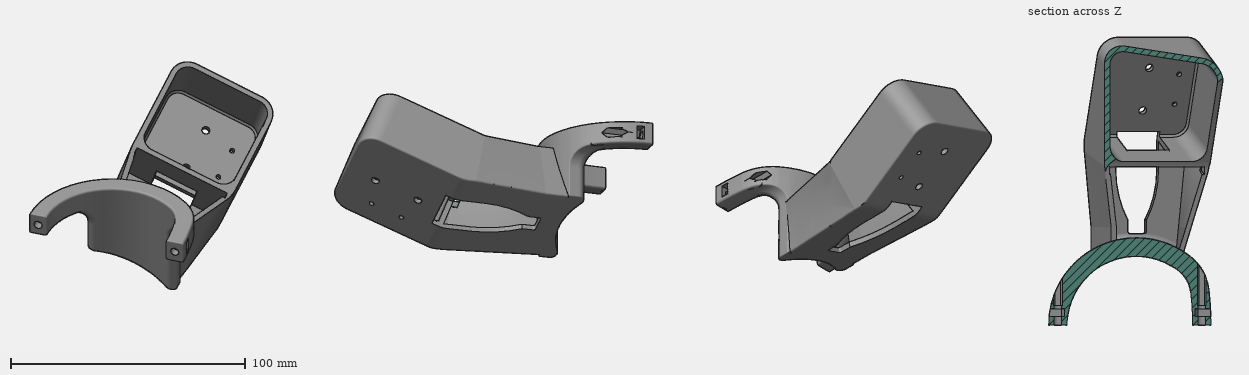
import cadquery as cq
import math


RING_INNER = 29.5
RING_THICK = 8.0
RING_HEIGHT = 10.0
RING_EDGE = 1.0
END_EDGE = 0.5
KNEE_ANGLE = 51.6
KNEE_INNER = 13.0
SHORT_ARM_X = 24.0
RING_OUTER = RING_INNER + RING_THICK
KNEE_POINT_RADIUS = RING_INNER - KNEE_INNER

LEG_HALF = 20.0
LEG_CORNER = 8.0
LEG_INNER_ROUND = 2.8
LEG_OUTER_ROUND = 0.6
LEG_FOOT_ROUND = 0.5

BOLT_DIA = 3.6
SOCKET_FLATS = 4.2
SOCKET_Y = 8.5
NUT_FLATS = 5.7
NUT_THICK = 3.2
NUT_Y = 5.5

ROLL = 20.0
PITCH = 24.4
WALL = 2.4
FLOOR_N = -31.4
EDGE_ROUND = 0.8
FLOOR_FACING = 0.8

BOX_WIDTH = 47.9
BOX_LENGTH = 48.2
BOX_HEIGHT = 28.5
BOX_CORNER = 8.5
BOX_LEFT = -12.5
BOX_RIGHT = BOX_LEFT + BOX_WIDTH
BOX_MID = BOX_LEFT + BOX_WIDTH / 2
FLOOR_CHAMFER = 0.9

BEND_Y = 79.6
BEND_RADIUS = 10.0
TROUGH_START = 24.0
TAPER_START = 42.0
LEFT_NEAR = -9.4
RIGHT_NEAR_BOTTOM = 31.2
RIGHT_NEAR_RIM = 21.2
RIM_N = FLOOR_N + BOX_HEIGHT * math.cos(math.radians(PITCH))
TAPER_END = 74.8
TAPER_END_RIM = BEND_Y - BOX_HEIGHT * math.sin(math.radians(PITCH))
HEADROOM = 3.0
TROUGH_ROOT = 2.0

SLOT_START = 39.2
SLOT_NECK_END = 45.0
SLOT_MID = 11.0
SLOT_NECK_HALF = 4.2
SLOT_HALF = 9.7
SLOT_FLARE_END = 66.0
SLOT_CORNER = 1.0
SLOT_IN_BOX = 4.6
WINDOW_HEIGHT = 16.7

LARGE_HOLE_DIA = 3.4
LARGE_HOLE_PITCH = 20.0
SMALL_HOLE_DIA = 2.0
SMALL_HOLE_PITCH = 14.0
SMALL_HOLE_OFFSET = 14.0
HOLES_MID = 24.5

CUT = 100.0


def polar(radius, degrees, centre=(0.0, 0.0)):
    angle = math.radians(degrees)
    return (centre[0] + radius * math.cos(angle), centre[1] + radius * math.sin(angle))


def to_box(shape):
    """Move a shape from the box frame to the cradle frame."""
    return shape.rotate((0, 0, 0), (1, 0, 0), PITCH).translate((0, BEND_Y, FLOOR_N))


def to_global(shape):
    """Move a shape from the cradle frame to the global frame."""
    return shape.rotate((0, 0, 0), (0, 1, 0), ROLL)


def ring_region(grow=0.0):
    """Area from the arm ends inside the ring's inner face, grown outward by `grow`."""
    knee = polar(KNEE_POINT_RADIUS, KNEE_ANGLE)
    gap = SHORT_ARM_X - knee[0]
    arm_radius = (gap**2 + knee[1]**2 - KNEE_INNER**2) / (2 * (gap - KNEE_INNER))
    arm_centre = (SHORT_ARM_X - arm_radius, 0.0)
    arm_angle = math.degrees(math.asin(knee[1] / (arm_radius - KNEE_INNER)))
    knee_mid = (KNEE_ANGLE + arm_angle) / 2
    main, bend, arm = RING_INNER + grow, KNEE_INNER + grow, arm_radius + grow
    return (
        cq.Workplane("XY")
        .moveTo(-main, 0)
        .threePointArc(polar(main, (180 + KNEE_ANGLE) / 2), polar(main, KNEE_ANGLE))
        .threePointArc(polar(bend, knee_mid, knee), polar(bend, arm_angle, knee))
        .threePointArc(polar(arm, arm_angle / 2, arm_centre), polar(arm, 0, arm_centre))
        .close()
    )


def front_profile():
    """Ring band and leg outlined in X and Z, with swept corners between them, cut through along Y."""
    reach = 2 * RING_OUTER
    top, under = RING_HEIGHT / 2, -RING_HEIGHT / 2
    sweep_x = LEG_HALF + LEG_CORNER
    sweep_z = under - LEG_CORNER
    mid_x, mid_z = polar(LEG_CORNER, 135, (sweep_x, sweep_z))
    return (
        cq.Workplane("XZ", origin=(0, -CUT / 2, 0))
        .moveTo(-reach, top)
        .lineTo(reach, top)
        .lineTo(reach, under)
        .lineTo(sweep_x, under)
        .threePointArc((mid_x, mid_z), (LEG_HALF, sweep_z))
        .lineTo(LEG_HALF, -CUT / 2)
        .lineTo(-LEG_HALF, -CUT / 2)
        .lineTo(-LEG_HALF, sweep_z)
        .threePointArc((-mid_x, mid_z), (-sweep_x, under))
        .lineTo(-reach, under)
        .close()
        .extrude(-CUT)
    )


def bracket():
    """Ring band joined to the leg; the leg's inner edges are rounded more than the band's."""
    shell = ring_region(RING_THICK).extrude(CUT, both=True)
    shell = shell.cut(ring_region().extrude(CUT, both=True))
    band = shell.intersect(cq.Workplane("XY").box(CUT, CUT, RING_HEIGHT))
    band = band.edges("not |Z").edges("not(<Y)").fillet(RING_EDGE)
    band = band.faces("<Y").edges().fillet(END_EDGE)
    leg_width = 2 * (LEG_HALF + LEG_CORNER)
    leg_room = cq.Workplane("XY").box(leg_width, CUT, CUT).translate((0, CUT / 2 + RING_EDGE, -CUT / 2))
    leg = shell.intersect(front_profile()).intersect(leg_room)
    inner_y = math.sqrt(RING_INNER**2 - LEG_HALF**2)
    for x in (-LEG_HALF, LEG_HALF):
        inner_edge = cq.selectors.NearestToPointSelector((x, inner_y, -CUT / 3))
        leg = leg.edges(inner_edge).fillet(LEG_INNER_ROUND)
    outer_y = math.sqrt(RING_OUTER**2 - LEG_HALF**2)
    for x in (-LEG_HALF, LEG_HALF):
        outer_edge = cq.selectors.NearestToPointSelector((x, outer_y, -CUT / 3))
        leg = leg.edges(outer_edge).fillet(LEG_OUTER_ROUND)
    return band.union(leg)


def hex_along_y(x, y, flats, length):
    """Hexagonal prism running toward +Y with two of its corners pointing along X."""
    corner_radius = flats / math.sqrt(3)
    corners = [polar(corner_radius, 60 * step) for step in range(6)]
    return cq.Workplane("XZ", origin=(x, y, 0)).polyline(corners).close().extrude(-length)


def cut_arm_fixings(body):
    """Bolt holes along Y with hexagonal nut slots open to the outside of each arm."""
    left = -RING_INNER - RING_THICK / 2
    right = SHORT_ARM_X + RING_THICK / 2
    for x, outward in ((left, -1), (right, 1)):
        bolt = cq.Workplane("XZ", origin=(x, 0, 0)).circle(BOLT_DIA / 2).extrude(-CUT / 4)
        socket = hex_along_y(x, SOCKET_Y, SOCKET_FLATS, CUT / 4)
        nut = hex_along_y(x, NUT_Y - NUT_THICK / 2, NUT_FLATS, NUT_THICK)
        entry = cq.Workplane("XY").box(RING_THICK, NUT_THICK, NUT_FLATS)
        entry = entry.translate((x + outward * RING_THICK / 2, NUT_Y, 0))
        body = body.cut(bolt).cut(socket).cut(nut).cut(entry)
    return body


def trough_block(inset):
    """Trough outline in the cradle frame; an inset one is the cavity, open at the rim."""
    low = FLOOR_N + inset
    depth = (low - FLOOR_N) / (RIM_N - FLOOR_N)
    reach = (TAPER_START - TROUGH_START) / (TAPER_END - TROUGH_START)

    def section(y, left, bottom_right, rim_right, rim_y):
        low_right = bottom_right + (rim_right - bottom_right) * depth
        low_y = y + (rim_y - y) * depth
        corners = [
            (left + inset, low_y, low),
            (low_right - inset, low_y, low),
            (rim_right - inset, rim_y, RIM_N),
            (left + inset, rim_y, RIM_N),
        ]
        return cq.Wire.makePolygon([cq.Vector(*corner) for corner in corners], close=True)

    mid_bottom = RIGHT_NEAR_BOTTOM + (BOX_RIGHT - RIGHT_NEAR_BOTTOM) * reach
    rim_reach = (TAPER_START - TROUGH_START) / (TAPER_END_RIM - TROUGH_START)
    mid_rim = RIGHT_NEAR_RIM + (BOX_RIGHT - RIGHT_NEAR_RIM) * rim_reach
    near = section(TROUGH_START, LEFT_NEAR, RIGHT_NEAR_BOTTOM, RIGHT_NEAR_RIM, TROUGH_START)
    middle = section(TAPER_START, LEFT_NEAR, mid_bottom, mid_rim, TAPER_START)
    far = section(TAPER_END, BOX_LEFT, BOX_RIGHT, BOX_RIGHT, TAPER_END_RIM)
    straight = cq.Solid.makeLoft([near, middle], True)
    taper = cq.Solid.makeLoft([middle, far], True)
    taper_y = TAPER_END + (TAPER_END_RIM - TAPER_END) * depth
    bend_y = BEND_Y - inset * math.tan(math.radians(PITCH))
    wedge = (
        cq.Workplane("YZ", origin=(BOX_LEFT + inset, 0, 0))
        .polyline([(taper_y, low), (bend_y, low), (TAPER_END_RIM, RIM_N)])
        .close()
        .extrude(BOX_WIDTH - 2 * inset)
    )
    return cq.Workplane(obj=straight).union(cq.Workplane(obj=taper)).union(wedge)


def box_outer():
    block = cq.Workplane("XY").box(BOX_WIDTH, BOX_LENGTH, BOX_HEIGHT, centered=False)
    block = block.edges("|Z and >Y").fillet(BOX_CORNER)
    return to_box(block.translate((BOX_LEFT, 0, 0)))


def box_cavity():
    width, length = BOX_WIDTH - 2 * WALL, BOX_LENGTH - 2 * WALL
    cavity = cq.Workplane("XY").box(width, length, BOX_HEIGHT + HEADROOM, centered=False)
    cavity = cavity.edges("|Z").fillet(BOX_CORNER - WALL)
    cavity = cavity.faces("<Z").edges().chamfer(FLOOR_CHAMFER)
    return to_box(cavity.translate((BOX_LEFT + WALL, WALL, WALL)))


def cable_slot():
    """Slot in the trough floor, carried through the box front wall as a window."""
    flare_mid_y = (SLOT_NECK_END + SLOT_FLARE_END) / 2
    flare_mid_half = SLOT_HALF - (SLOT_HALF - SLOT_NECK_HALF) / 4
    floor_slot = (
        cq.Workplane("XY", origin=(SLOT_MID, 0, FLOOR_N - WALL))
        .moveTo(-SLOT_NECK_HALF, SLOT_START)
        .lineTo(SLOT_NECK_HALF, SLOT_START)
        .lineTo(SLOT_NECK_HALF, SLOT_NECK_END)
        .threePointArc((flare_mid_half, flare_mid_y), (SLOT_HALF, SLOT_FLARE_END))
        .lineTo(SLOT_HALF, BEND_Y)
        .lineTo(-SLOT_HALF, BEND_Y)
        .lineTo(-SLOT_HALF, SLOT_FLARE_END)
        .threePointArc((-flare_mid_half, flare_mid_y), (-SLOT_NECK_HALF, SLOT_NECK_END))
        .close()
        .extrude(3 * WALL)
        .edges("|Z and <Y")
        .fillet(SLOT_CORNER)
    )
    window_depth = SLOT_IN_BOX + WALL
    window = cq.Workplane("XY").box(2 * SLOT_HALF, window_depth, WINDOW_HEIGHT + WALL, centered=False)
    window = window.translate((SLOT_MID - SLOT_HALF, -WALL, -WALL))
    return floor_slot.union(to_box(window))


def box_floor_holes():
    half_large, half_small = LARGE_HOLE_PITCH / 2, SMALL_HOLE_PITCH / 2
    large = [(BOX_MID, HOLES_MID - half_large), (BOX_MID, HOLES_MID + half_large)]
    small_x = BOX_MID + SMALL_HOLE_OFFSET
    small = [(small_x, HOLES_MID - half_small), (small_x, HOLES_MID + half_small)]
    plane = cq.Workplane("XY", origin=(0, 0, -WALL))
    holes = plane.pushPoints(large).circle(LARGE_HOLE_DIA / 2).extrude(3 * WALL)
    holes = holes.union(plane.pushPoints(small).circle(SMALL_HOLE_DIA / 2).extrude(3 * WALL))
    return to_box(holes)


def floor_outline(body):
    """Edges where the walls meet the outer floor, without the buried front edge."""
    floor = [face for face in body.faces().vals() if face.normalAt().z < -FLOOR_FACING]
    edges = [edge for face in floor for edge in face.Edges()]

    def is_outline(edge):
        shared = sum(edge.isSame(other) for other in edges) > 1
        return not shared and edge.Center().y > TROUGH_START + WALL

    return [edge for edge in edges if is_outline(edge)]


def cradle_outer():
    body = trough_block(0.0).union(box_outer()).clean()
    bend = cq.selectors.NearestToPointSelector((BOX_MID, BEND_Y, FLOOR_N))
    body = body.newObject(floor_outline(body)).fillet(EDGE_ROUND)
    body = body.edges(bend).fillet(BEND_RADIUS)
    rim_bend = cq.selectors.NearestToPointSelector((BOX_MID, TAPER_END_RIM, RIM_N))
    return body.edges(rim_bend).fillet(BEND_RADIUS)


def trough_cavity():
    """Space inside the trough, stopping at the ring wall with a fillet at its root."""
    ring_post = cylinder(RING_OUTER).rotate((0, 0, 0), (0, 1, 0), -ROLL)
    cavity = trough_block(WALL).cut(ring_post).clean()
    root = cq.selectors.NearestToPointSelector((BOX_MID, RING_OUTER, FLOOR_N + WALL))
    cavity = cavity.edges(root).fillet(TROUGH_ROOT)
    room = cq.Workplane("XY").box(BOX_WIDTH - 2 * WALL, HEADROOM, 2 * HEADROOM)
    room = room.translate((BOX_MID, -HEADROOM / 2, BOX_HEIGHT))
    return cavity.union(to_box(room))


def cylinder(radius):
    return cq.Workplane("XY").circle(radius).extrude(CUT, both=True)


def below_floor():
    slab = cq.Workplane("XY").box(2 * CUT, 2 * CUT, CUT)
    return to_global(slab.translate((0, 0, FLOOR_N - CUT / 2)))


def trimmed_bracket():
    """Bracket with its leg cut off level with the outer floor and rounded below."""
    body = bracket().cut(below_floor())
    inner_edge = cq.selectors.NearestToPointSelector((0, RING_INNER, FLOOR_N))
    return body.edges(inner_edge).fillet(LEG_FOOT_ROUND)


def build():
    outer = to_global(cradle_outer()).cut(cylinder(RING_INNER + RING_THICK / 2))
    body = trimmed_bracket().union(outer)
    for void in (trough_cavity(), box_cavity(), cable_slot(), box_floor_holes()):
        body = body.cut(to_global(void))
    return cut_arm_fixings(body)


result = build()